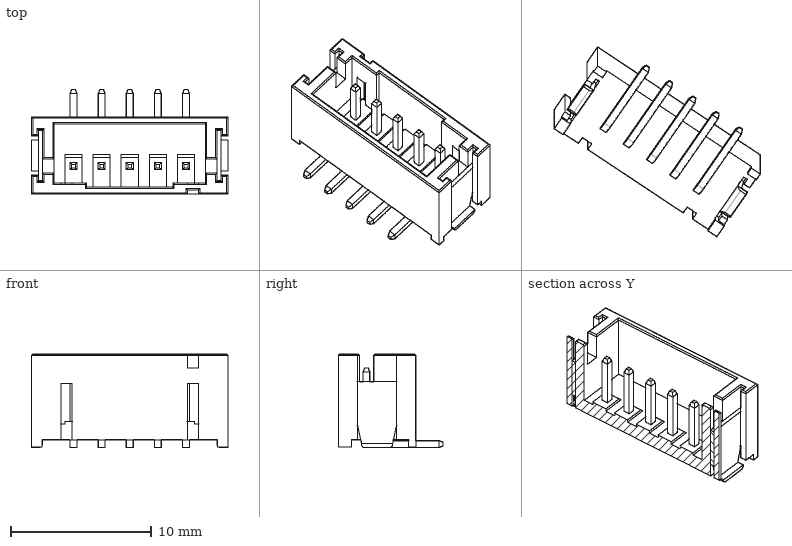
import cadquery as cq
import math


LENGTH = 14.0
DEPTH = 5.52
TOP_Z = 6.66
UNDERSIDE_Z = 0.55
LEG_BOTTOM_Z = 0.04
RIM_CHAMFER = 0.1

LEG_LENGTH = 0.77
BACK_LEG_DEPTH = 0.5
FRONT_LEG_DEPTH = 0.94

CAVITY_HALF_LENGTH = 5.38
CAVITY_FLOOR_Z = 1.67
BACK_WALL = 0.5
FRONT_WALL = 0.8
RECESS_LENGTH = 6.13
RECESS_WALL = 0.5

WINDOW_X = 4.51
WINDOW_WIDTH = 0.8
WINDOW_TOP_Z = 4.55
KEY_DEPTH = 0.31
KEY_HEIGHT = 1.0

TAB_THICKNESS = 0.31
TAB_INSET = 0.49
TAB_WIDTH = 3.58
TAB_END_GAP = 0.03
TAB_TOP_Z = 4.7
TAB_SHOULDER_Z = 1.58
TAB_NECK_WIDTH = 2.77
TAB_FOOT_WIDTH = 2.23
TAB_FOOT_CORNER = 0.15

MOUTH_WIDTH = 2.8
SIDE_NOTCH_FRONT_Y = 1.51
SIDE_NOTCH_BACK_Y = 2.52

PIN_COUNT = 5
PIN_PITCH = 2.0
PIN_SIZE = 0.5
PIN_Y = 2.0
PIN_TOP_Z = 5.67
TAIL_END_Y = 7.46
PIN_TIP_LENGTH = 0.3
PIN_TIP_SIZE = 0.27
BEND_INNER_RADIUS = 0.1
PAD_WIDTH = 1.22
PAD_HEIGHT = 0.21
PAD_BACK_Y = 2.83

HALF_LENGTH = LENGTH / 2
MIDDLE_Y = DEPTH / 2
PIN_XS = [(i - (PIN_COUNT - 1) / 2) * PIN_PITCH for i in range(PIN_COUNT)]


def box(x0, x1, y0, y1, z0, z1):
    """Box between two X, two Y and two Z positions."""
    return cq.Workplane("XY").box(x1 - x0, y1 - y0, z1 - z0, centered=False).translate((x0, y0, z0))


def mirrored_pair(right_hand):
    """The right-hand shape together with its mirror image on the left."""
    return right_hand.union(right_hand.mirror("YZ"))


def make_legs():
    """Corner feet below the underside of the housing."""
    inner_x = HALF_LENGTH - LEG_LENGTH
    front = box(inner_x, HALF_LENGTH, 0, FRONT_LEG_DEPTH, LEG_BOTTOM_Z, UNDERSIDE_Z)
    back = box(inner_x, HALF_LENGTH, DEPTH - BACK_LEG_DEPTH, DEPTH, LEG_BOTTOM_Z, UNDERSIDE_Z)
    return mirrored_pair(front.union(back))


def make_cavity():
    """Space for the mating plug, with the recess in its front wall."""
    main = box(-CAVITY_HALF_LENGTH, CAVITY_HALF_LENGTH, FRONT_WALL, DEPTH - BACK_WALL, CAVITY_FLOOR_Z, TOP_Z)
    recess = box(-RECESS_LENGTH / 2, RECESS_LENGTH / 2, RECESS_WALL, FRONT_WALL, CAVITY_FLOOR_Z, TOP_Z)
    return main.union(recess)


def make_end_openings():
    """Tab slot, the mouth that opens it to the outside and the notch that opens it to the cavity."""
    slot_outer_x = HALF_LENGTH - TAB_INSET
    slot_inner_x = slot_outer_x - TAB_THICKNESS
    slot_front_y = MIDDLE_Y - TAB_WIDTH / 2 - TAB_END_GAP
    slot_back_y = MIDDLE_Y + TAB_WIDTH / 2 + TAB_END_GAP
    slot = box(slot_inner_x, slot_outer_x, slot_front_y, slot_back_y, LEG_BOTTOM_Z, TOP_Z)

    mouth_front_y = MIDDLE_Y - MOUTH_WIDTH / 2
    mouth_back_y = MIDDLE_Y + MOUTH_WIDTH / 2
    mouth = box(slot_outer_x, HALF_LENGTH, mouth_front_y, mouth_back_y, LEG_BOTTOM_Z, TOP_Z)

    notch = box(CAVITY_HALF_LENGTH, slot_inner_x, SIDE_NOTCH_FRONT_Y, SIDE_NOTCH_BACK_Y, TAB_TOP_Z, TOP_Z)
    return mirrored_pair(slot.union(mouth).union(notch))


def make_windows():
    """Openings through the front wall into the cavity, carried down the front of the floor."""
    x0 = WINDOW_X - WINDOW_WIDTH / 2
    x1 = x0 + WINDOW_WIDTH
    through_wall = box(x0, x1, 0, FRONT_WALL, CAVITY_FLOOR_Z, WINDOW_TOP_Z)
    along_floor = box(x0, x1, 0, RECESS_WALL, UNDERSIDE_Z, CAVITY_FLOOR_Z)
    return mirrored_pair(through_wall.union(along_floor))


def make_key_notch():
    """Shallow notch in the front rim above the right-hand window."""
    x0 = WINDOW_X - WINDOW_WIDTH / 2
    return box(x0, x0 + WINDOW_WIDTH, 0, KEY_DEPTH, TOP_Z - KEY_HEIGHT, TOP_Z)


def make_pad(x):
    """Raised pad on the cavity floor, from the front end of the floor to a sloped end behind the pin."""
    pad_top_z = CAVITY_FLOOR_Z + PAD_HEIGHT
    outline = [
        (RECESS_WALL, CAVITY_FLOOR_Z),
        (PAD_BACK_Y, CAVITY_FLOOR_Z),
        (PAD_BACK_Y - PAD_HEIGHT, pad_top_z),
        (RECESS_WALL, pad_top_z),
    ]
    pad = cq.Workplane("YZ").polyline(outline).close().extrude(PAD_WIDTH / 2, both=True)
    return pad.translate((x, 0, 0))


def make_pin_tip(plane):
    """Tapered end of a pin, pointing along the normal of the plane."""
    return (
        plane.rect(PIN_SIZE, PIN_SIZE)
        .workplane(offset=PIN_TIP_LENGTH)
        .rect(PIN_TIP_SIZE, PIN_TIP_SIZE)
        .loft(combine=True)
    )


def make_pin(x):
    """Square pin standing in the cavity, bent backward under the floor and tapered at both ends."""
    half = PIN_SIZE / 2
    front_y = PIN_Y - half
    back_y = PIN_Y + half
    post_end_z = PIN_TOP_Z - PIN_TIP_LENGTH
    tail_end_y = TAIL_END_Y - PIN_TIP_LENGTH

    outer_radius = BEND_INNER_RADIUS + PIN_SIZE
    center_y = front_y + outer_radius
    center_z = outer_radius
    diagonal = math.sqrt(0.5)
    outer_middle = (center_y - outer_radius * diagonal, center_z - outer_radius * diagonal)
    inner_middle = (center_y - BEND_INNER_RADIUS * diagonal, center_z - BEND_INNER_RADIUS * diagonal)

    shaft = (
        cq.Workplane("YZ")
        .moveTo(front_y, post_end_z)
        .lineTo(front_y, center_z)
        .threePointArc(outer_middle, (center_y, 0))
        .lineTo(tail_end_y, 0)
        .lineTo(tail_end_y, PIN_SIZE)
        .lineTo(center_y, PIN_SIZE)
        .threePointArc(inner_middle, (back_y, center_z))
        .lineTo(back_y, post_end_z)
        .close()
        .extrude(half, both=True)
    )
    post_tip = make_pin_tip(cq.Workplane("XY", origin=(0, PIN_Y, post_end_z)))
    tail_tip = make_pin_tip(cq.Workplane("ZX", origin=(0, tail_end_y, half)))
    return shaft.union(post_tip).union(tail_tip).translate((x, 0, 0))


def make_housing():
    """Housing with its pins, as one solid."""
    housing = box(-HALF_LENGTH, HALF_LENGTH, 0, DEPTH, UNDERSIDE_Z, TOP_Z).union(make_legs())
    housing = housing.cut(make_cavity()).cut(make_end_openings())
    housing = housing.cut(make_windows()).cut(make_key_notch())
    housing = housing.faces(">Z").edges().chamfer(RIM_CHAMFER)
    for x in PIN_XS:
        housing = housing.union(make_pad(x)).union(make_pin(x))
    return housing


def make_right_tab():
    """L-shaped solder tab: an upright plate in the slot, tapered to a foot turned outward."""
    outer_x = HALF_LENGTH - TAB_INSET
    inner_x = outer_x - TAB_THICKNESS
    plate = box(inner_x, outer_x, 0, DEPTH, 0, TAB_TOP_Z)
    foot = box(inner_x, HALF_LENGTH, 0, DEPTH, 0, TAB_THICKNESS)
    bent_strip = plate.union(foot).edges("|Y and <X and <Z").fillet(TAB_THICKNESS)

    right_half = [
        (TAB_FOOT_WIDTH / 2 - TAB_FOOT_CORNER, 0),
        (TAB_FOOT_WIDTH / 2, TAB_FOOT_CORNER),
        (TAB_FOOT_WIDTH / 2, TAB_THICKNESS),
        (TAB_NECK_WIDTH / 2, TAB_SHOULDER_Z),
        (TAB_WIDTH / 2, TAB_SHOULDER_Z),
        (TAB_WIDTH / 2, TAB_TOP_Z),
    ]
    left_half = [(-y, z) for y, z in reversed(right_half)]
    face_outline = cq.Workplane("YZ", origin=(0, MIDDLE_Y, 0)).polyline(right_half + left_half).close()
    return bent_strip.intersect(face_outline.extrude(HALF_LENGTH))


housing = make_housing()
right_tab = make_right_tab()
left_tab = right_tab.mirror("YZ")

result = cq.Compound.makeCompound([housing.val(), right_tab.val(), left_tab.val()])